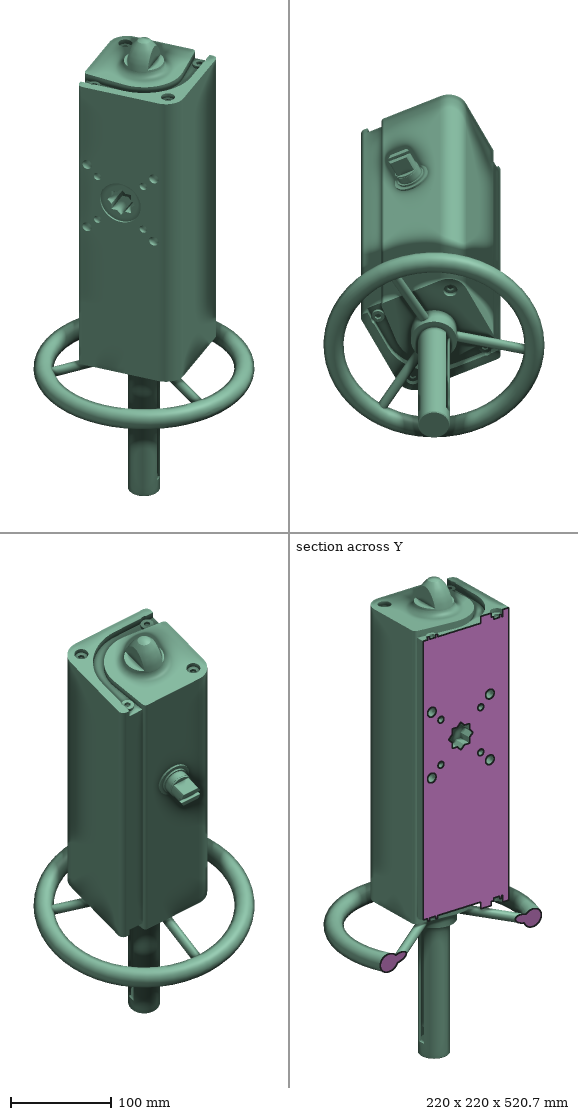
import cadquery as cq
import math


HOUSING_HEIGHT = 321.5
HOUSING_NEAR = 50.5
HOUSING_FAR = 60.2
STEP_DEPTH = 3.5
CORNER_RADIUS = 19.0
STRIP_CORNER_RADIUS = 6.0
STEP_EDGE_RADIUS = 4.0

CHANNEL_INNER_RADIUS = 40.0
CHANNEL_OUTER_RADIUS = 51.0
CHANNEL_FLARE = math.radians(6.3)
CHANNEL_DEPTH = 7.5

SCREW_SPACING = 80.0
SCREW_RECESS_DIAMETER = 14.0
SCREW_HEAD_DIAMETER = 13.0
SCREW_HEAD_RISE = 3.0
SCREW_SOCKET_ACROSS_FLATS = 6.0

DRIVE_Z = 196.8
BUSH_DIAMETER = 44.0
BUSH_RECESS = 2.0
STAR_SQUARE = 21.0
STAR_DEPTH = 30.0
MOUNTING_HOLES = [(102.0, 10.0, 16.0, 8.38, 20.0), (70.0, 8.0, 13.0, 6.65, 16.0)]
DRILL_POINT_ANGLE = 118.0

SHAFT_STEPS = [(36.0, 52.5), (28.3, 54.5), (25.0, 62.4), (24.4, 64.0)]
STUB_DIAMETER = 23.0
STUB_ACROSS_FLATS = 15.0
STUB_END = 81.0
STUB_SLOT_WIDTH = 5.0
STUB_SLOT_DEPTH = 3.5

KNOB_HEIGHT = 32.2
KNOB_FOOT_RADIUS = 27.5
KNOB_DOME_FOOT = (20.5, 5.2)
KNOB_DOME_MIDPOINT = (16.5, 17.0)
KNOB_TIP_RADIUS = 6.5
KNOB_TIP_HEIGHT = 1.5
KNOB_GRIP_WIDTH = 22.0
KNOB_LEDGE_HEIGHT = 7.5

RIM_RADIUS = 100.0
RIM_TUBE_RADIUS = 10.0
RIM_Z = -27.4
RIM_JOINT_TOLERANCE = 0.001
HUB_DIAMETER = 46.0
HUB_BOTTOM = -20.0
SPOKE_DIAMETER = 10.0
SPOKE_COUNT = 3
SPOKE_RISE = 0.226
TUBE_DIAMETER = 32.0
TUBE_BORE = 27.0
TUBE_BOTTOM = -167.0
TUBE_CHAMFER = 1.0
TUBE_SLOT_WIDTH = 8.0
TUBE_SLOT_BOTTOM = -151.5
SPINDLE_DIAMETER = 25.0
SPINDLE_BOTTOM = -136.0


def inner_wall_points(reach):
    """Corners of the channel's inner wall: an arc with a flared straight at each end.

    The straights stop at the given reach from the spindle axis.
    """
    flare_cos = math.cos(CHANNEL_FLARE)
    flare_sin = math.sin(CHANNEL_FLARE)
    radius = CHANNEL_INNER_RADIUS
    edge = (radius - reach * flare_sin) / flare_cos
    tangent = (radius * flare_cos, radius * flare_sin)
    middle = (radius * math.sqrt(0.5), -radius * math.sqrt(0.5))
    return {
        "upper": (edge, reach),
        "arc_start": tangent,
        "arc_middle": middle,
        "arc_end": (-tangent[1], -tangent[0]),
        "lower": (-reach, -edge),
    }


def round_upright_edge(body, corner, radius):
    middle_of_edge = (*corner, HOUSING_HEIGHT / 2)
    return body.edges(cq.selectors.NearestToPointSelector(middle_of_edge)).fillet(radius)


def housing_block():
    step = HOUSING_NEAR - STEP_DEPTH
    body = (
        cq.Workplane("XY")
        .moveTo(-step, -HOUSING_FAR)
        .lineTo(HOUSING_FAR, -HOUSING_FAR)
        .lineTo(HOUSING_FAR, step)
        .lineTo(-step, step)
        .close()
        .extrude(HOUSING_HEIGHT)
    )
    for corner, radius in [
        ((HOUSING_FAR, -HOUSING_FAR), CORNER_RADIUS),
        ((HOUSING_FAR, step), STRIP_CORNER_RADIUS),
        ((-step, -HOUSING_FAR), STRIP_CORNER_RADIUS),
    ]:
        body = round_upright_edge(body, corner, radius)
    return body


def housing_core():
    """The part of the section inside the channel, standing proud of the strip on -X and +Y."""
    ends = inner_wall_points(HOUSING_NEAR)
    core = (
        cq.Workplane("XY")
        .moveTo(*ends["upper"])
        .lineTo(*ends["arc_start"])
        .threePointArc(ends["arc_middle"], ends["arc_end"])
        .lineTo(*ends["lower"])
        .lineTo(-HOUSING_NEAR, HOUSING_NEAR)
        .close()
        .extrude(HOUSING_HEIGHT)
    )
    for corner, radius in [
        ((-HOUSING_NEAR, HOUSING_NEAR), CORNER_RADIUS),
        (ends["upper"], STEP_EDGE_RADIUS),
        (ends["lower"], STEP_EDGE_RADIUS),
    ]:
        core = round_upright_edge(core, corner, radius)
    return core


def channel_band(z):
    """Everything inside the outer channel wall, open toward -X and +Y."""
    reach = HOUSING_FAR
    radius = CHANNEL_OUTER_RADIUS
    return (
        cq.Workplane("XY", origin=(0, 0, z))
        .moveTo(radius, reach)
        .lineTo(radius, 0)
        .radiusArc((0, -radius), radius)
        .lineTo(-reach, -radius)
        .lineTo(-reach, reach)
        .close()
        .extrude(CHANNEL_DEPTH)
    )


def housing_shell():
    block = housing_block()
    for z in (0, HOUSING_HEIGHT - CHANNEL_DEPTH):
        block = block.cut(channel_band(z))
    trim = (
        cq.Workplane("XY")
        .rect(2 * CHANNEL_INNER_RADIUS, 2 * CHANNEL_INNER_RADIUS)
        .extrude(HOUSING_HEIGHT)
        .translate((-CHANNEL_INNER_RADIUS, CHANNEL_INNER_RADIUS, 0))
    )
    return block.cut(trim).union(housing_core())


def with_cover_screws(body):
    """Sink the screw recesses into both ends and leave a socket head standing in each."""
    centre = (HOUSING_FAR - HOUSING_NEAR) / 2
    socket_corners = SCREW_SOCKET_ACROSS_FLATS / math.cos(math.radians(30))
    for floor, outward in [(CHANNEL_DEPTH, -1), (HOUSING_HEIGHT - CHANNEL_DEPTH, 1)]:
        places = (
            cq.Workplane("XY", origin=(centre, -centre, floor))
            .rect(SCREW_SPACING, SCREW_SPACING, forConstruction=True)
            .vertices()
        )
        recesses = places.circle(SCREW_RECESS_DIAMETER / 2).extrude(outward * CHANNEL_DEPTH)
        heads = places.circle(SCREW_HEAD_DIAMETER / 2).extrude(outward * SCREW_HEAD_RISE)
        sockets = places.polygon(6, socket_corners).extrude(outward * SCREW_HEAD_RISE)
        body = body.cut(recesses).union(heads.cut(sockets))
    return body


def drive_face():
    """Workplane on the -Y face, centred on the drive axis, with its normal pointing out."""
    return cq.Workplane("XZ", origin=(0, -HOUSING_FAR, DRIVE_Z))


def mounting_holes(pitch_circle, thread_diameter, thread_depth, drill_diameter, drill_depth):
    offset = pitch_circle / 2 * math.sqrt(0.5)
    thread = thread_diameter / 2
    radius = drill_diameter / 2
    point = radius / math.tan(math.radians(DRILL_POINT_ANGLE / 2))
    drill = (
        cq.Workplane("XY")
        .lineTo(thread, 0)
        .lineTo(thread, thread_depth)
        .lineTo(radius, thread_depth)
        .lineTo(radius, drill_depth)
        .lineTo(0, drill_depth + point)
        .close()
        .revolve(360, (0, 0), (0, 1))
    )
    centres = [(x, DRIVE_Z + z) for x in (-offset, offset) for z in (-offset, offset)]
    return [drill.translate((x, -HOUSING_FAR, z)) for x, z in centres]


def star_socket():
    recess = drive_face().circle(BUSH_DIAMETER / 2).extrude(-BUSH_RECESS)
    square = drive_face().rect(STAR_SQUARE, STAR_SQUARE).extrude(-STAR_DEPTH)
    axis_start = (0, 0, DRIVE_Z)
    axis_end = (0, 1, DRIVE_Z)
    return recess.union(square).union(square.rotate(axis_start, axis_end, 45))


def indicator_shaft():
    face = cq.Workplane("XZ", origin=(0, HOUSING_NEAR, DRIVE_Z))
    stub = (
        face.circle(STUB_DIAMETER / 2).extrude(-(STUB_END - HOUSING_NEAR))
        .intersect(face.rect(STUB_DIAMETER, STUB_ACROSS_FLATS).extrude(-(STUB_END - HOUSING_NEAR)))
    )
    slot = cq.Workplane("XY").box(STUB_DIAMETER, 2 * STUB_SLOT_DEPTH, STUB_SLOT_WIDTH)
    shaft = stub.cut(slot.translate((0, STUB_END, DRIVE_Z)))
    for diameter, end in SHAFT_STEPS:
        shaft = shaft.union(face.circle(diameter / 2).extrude(-(end - HOUSING_NEAR)))
    return shaft


def knob():
    dome_foot_radius, dome_foot_height = KNOB_DOME_FOOT
    flare_run = KNOB_FOOT_RADIUS - dome_foot_radius
    flare_radius = (flare_run**2 + dome_foot_height**2) / (2 * dome_foot_height)
    tip_radius = (KNOB_TIP_RADIUS**2 + KNOB_TIP_HEIGHT**2) / (2 * KNOB_TIP_HEIGHT)
    body = (
        cq.Workplane("XZ", origin=(0, 0, HOUSING_HEIGHT))
        .lineTo(KNOB_FOOT_RADIUS, 0)
        .radiusArc(KNOB_DOME_FOOT, flare_radius)
        .threePointArc(KNOB_DOME_MIDPOINT, (KNOB_TIP_RADIUS, KNOB_HEIGHT - KNOB_TIP_HEIGHT))
        .radiusArc((0, KNOB_HEIGHT), -tip_radius)
        .close()
        .revolve(360, (0, 0), (0, 1))
    )
    side = (
        cq.Workplane("XY", origin=(0, 0, HOUSING_HEIGHT + KNOB_LEDGE_HEIGHT))
        .pushPoints([(-KNOB_GRIP_WIDTH, 0), (KNOB_GRIP_WIDTH, 0)])
        .rect(KNOB_GRIP_WIDTH, 2 * KNOB_FOOT_RADIUS)
        .extrude(KNOB_HEIGHT)
    )
    return body.cut(side)


def spindle():
    return cq.Workplane("XY").circle(SPINDLE_DIAMETER / 2).extrude(SPINDLE_BOTTOM)


def actuator_body():
    body = with_cover_screws(housing_shell()).cut(star_socket())
    for sizes in MOUNTING_HOLES:
        for hole in mounting_holes(*sizes):
            body = body.cut(hole)
    return body.union(indicator_shaft()).union(knob()).union(spindle())


def spoke(angle):
    direction = cq.Vector(-1, 0, SPOKE_RISE)
    plane = cq.Plane(origin=(RIM_RADIUS, 0, RIM_Z), xDir=(0, 1, 0), normal=direction)
    run = RIM_RADIUS - TUBE_DIAMETER / 2
    length = run * math.hypot(1, SPOKE_RISE)
    bar = cq.Workplane(plane).circle(SPOKE_DIAMETER / 2).extrude(length)
    return bar.rotate((0, 0, 0), (0, 0, 1), angle)


def handwheel():
    wheel = cq.Workplane("XY").circle(HUB_DIAMETER / 2).extrude(HUB_BOTTOM)
    tube = cq.Workplane("XY").circle(TUBE_DIAMETER / 2).extrude(TUBE_BOTTOM)
    tube = tube.faces("<Z").chamfer(TUBE_CHAMFER)
    wheel = wheel.union(tube)
    for i in range(SPOKE_COUNT):
        wheel = wheel.union(spoke(90 + i * 360 / SPOKE_COUNT))
    slot = (
        cq.Workplane("YZ")
        .moveTo(0, (TUBE_SLOT_BOTTOM + HUB_BOTTOM) / 2)
        .rect(TUBE_SLOT_WIDTH, HUB_BOTTOM - TUBE_SLOT_BOTTOM)
        .extrude(TUBE_DIAMETER, both=True)
    )
    bore = cq.Workplane("XY").circle(TUBE_BORE / 2).extrude(TUBE_SLOT_BOTTOM)
    wheel = wheel.cut(slot).cut(bore)
    rim = (
        cq.Workplane("XZ")
        .moveTo(RIM_RADIUS, RIM_Z)
        .circle(RIM_TUBE_RADIUS)
        .revolve(360, (0, 0), (0, 1))
    )
    return wheel.union(rim, clean=False, tol=RIM_JOINT_TOLERANCE)


result = cq.Compound.makeCompound([actuator_body().val(), handwheel().val()])